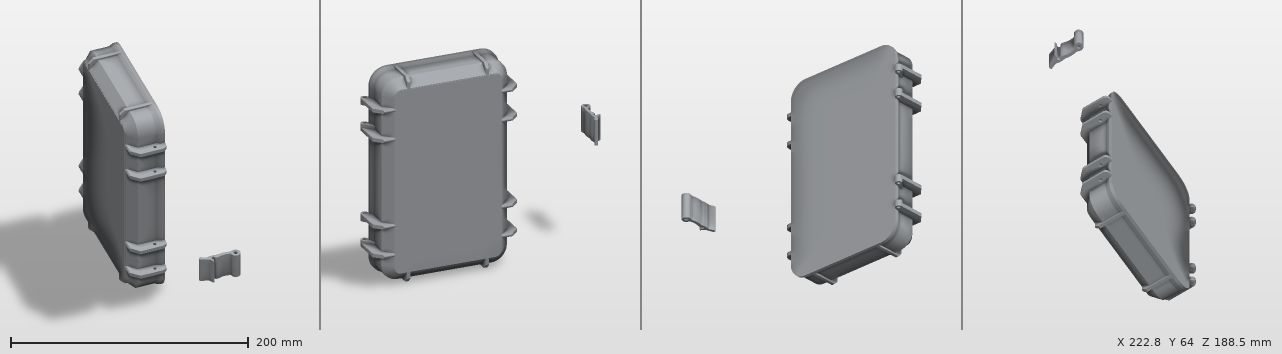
import cadquery as cq
import math

TOTAL_LENGTH = 222.8
CASE_LENGTH = 188.5
CASE_WIDTH = 118.5
CASE_DEPTH = 32.3
RIM_RADIUS = 16.3
RIM_HEIGHT = 3.0
RIM_SLOPE = 4.5
WALL_INSET = 1.8
PANEL_CHAMFER = 8.2
PANEL_STEP = 0.5
PANEL_LEDGE = 0.7

RIB_THICKNESS = 3.3
RIB_BEVEL_ACROSS = 1.3
RIB_BEVEL_DEPTH = 1.0
RIB_ROOT = 13.4
SIDE_RIB_REACH = 132.5 / 2
SIDE_RIB_HEIGHTS = (39.7, 66.4)
SIDE_RIB_CHAMFER = 7.5
END_RIB_THICKNESS = 3.1
END_RIB_OFFSET = 36.0
END_RIB_CHAMFER = 4.5

PIN_HOLE_DIAMETER = 3.0
HINGE_RADIUS = 3.3
HINGE_Y = CASE_DEPTH
LATCH_CORNER_RADIUS = 5.0
LATCH_HOLE_INSET = 4.7
LATCH_HOLE_Y = 22.3

INNER_PAD_THICKNESS = 3.3
OUTER_PAD_THICKNESS = 2.7
PAD_SLOPE_TOP_Y = 30.0
PAD_SLOPE_BOTTOM_Y = 22.0
PAD_LEDGE = 0.5

CLIP_LENGTH = 23.5
CLIP_TOP_Y = 64.0
EYE_RADIUS = 4.0
EYE_HOLE_DIAMETER = 3.3

HALF_WIDTH = CASE_WIDTH / 2
HALF_LENGTH = CASE_LENGTH / 2
HINGE_X = HINGE_RADIUS - SIDE_RIB_REACH
EYE_X = TOTAL_LENGTH - SIDE_RIB_REACH - EYE_RADIUS
EYE_Y = CLIP_TOP_Y - EYE_RADIUS


def case_section(y, inset):
    """Rounded rectangle at depth y, moved in from the rim outline by inset."""
    return (
        cq.Sketch()
        .rect(CASE_WIDTH - 2 * inset, CASE_LENGTH - 2 * inset)
        .vertices()
        .fillet(RIM_RADIUS - inset)
        .moved(cq.Location(cq.Plane.named("XZ", origin=(0, y, 0))))
    )


def case_layer(y_front, inset_front, y_back, inset_back):
    """Slice of the case between two depths, straight or sloped."""
    sections = [case_section(y_front, inset_front), case_section(y_back, inset_back)]
    return cq.Workplane("XY").placeSketch(*sections).loft(ruled=True)


def case_shell():
    """Raised panel, bevel, wall, slope and rim, stacked from front to back."""
    bevel_inset = WALL_INSET + PANEL_CHAMFER
    rim_y = CASE_DEPTH - RIM_HEIGHT
    panel_inset = bevel_inset + PANEL_LEDGE
    stations = [
        (PANEL_STEP, bevel_inset),
        (PANEL_STEP + PANEL_CHAMFER, WALL_INSET),
        (rim_y - RIM_SLOPE, WALL_INSET),
        (rim_y, 0),
        (CASE_DEPTH, 0),
    ]
    shell = case_layer(0, panel_inset, PANEL_STEP, panel_inset)
    for front, back in zip(stations, stations[1:]):
        shell = shell.union(case_layer(*front, *back))
    return shell


def latch_rib(z):
    """Rib on the +X side, with a rounded back corner."""
    root = HALF_WIDTH - RIB_ROOT
    return (
        cq.Workplane("XY", origin=(0, 0, z - RIB_THICKNESS / 2))
        .moveTo(root, 0)
        .lineTo(SIDE_RIB_REACH - SIDE_RIB_CHAMFER, 0)
        .lineTo(SIDE_RIB_REACH, SIDE_RIB_CHAMFER)
        .lineTo(SIDE_RIB_REACH, CASE_DEPTH - LATCH_CORNER_RADIUS)
        .radiusArc((SIDE_RIB_REACH - LATCH_CORNER_RADIUS, CASE_DEPTH), -LATCH_CORNER_RADIUS)
        .lineTo(root, CASE_DEPTH)
        .close()
        .extrude(RIB_THICKNESS)
        .faces("<Y").edges("|X").chamfer(RIB_BEVEL_ACROSS, RIB_BEVEL_DEPTH)
    )


def hinge_rib(z):
    """Rib on the -X side, with a round end for its pin hole."""
    root = RIB_ROOT - HALF_WIDTH
    return (
        cq.Workplane("XY", origin=(0, 0, z - RIB_THICKNESS / 2))
        .moveTo(root, 0)
        .lineTo(SIDE_RIB_CHAMFER - SIDE_RIB_REACH, 0)
        .lineTo(-SIDE_RIB_REACH, SIDE_RIB_CHAMFER)
        .lineTo(-SIDE_RIB_REACH, HINGE_Y)
        .threePointArc((HINGE_X, HINGE_Y + HINGE_RADIUS), (HINGE_X + HINGE_RADIUS, HINGE_Y))
        .lineTo(root, CASE_DEPTH)
        .close()
        .extrude(RIB_THICKNESS)
        .faces("<Y").edges("|X").chamfer(RIB_BEVEL_ACROSS, RIB_BEVEL_DEPTH)
    )


def hinge_pad(z_face, thickness):
    """Pad on a hinge rib from z_face; a negative thickness grows it downwards."""
    root = RIB_ROOT - HALF_WIDTH
    pad_edge = HINGE_X - math.sqrt(HINGE_RADIUS**2 - (HINGE_Y - PAD_SLOPE_TOP_Y) ** 2)
    return (
        cq.Workplane("XY", origin=(0, 0, z_face))
        .moveTo(root, PAD_SLOPE_BOTTOM_Y)
        .lineTo(WALL_INSET - HALF_WIDTH - PAD_LEDGE, PAD_SLOPE_BOTTOM_Y)
        .lineTo(pad_edge, PAD_SLOPE_TOP_Y)
        .threePointArc((-SIDE_RIB_REACH, HINGE_Y), (HINGE_X, HINGE_Y + HINGE_RADIUS))
        .threePointArc(
            (HINGE_X + HINGE_RADIUS * math.sqrt(0.5), HINGE_Y + HINGE_RADIUS * math.sqrt(0.5)),
            (HINGE_X + HINGE_RADIUS, HINGE_Y),
        )
        .lineTo(root, CASE_DEPTH)
        .close()
        .extrude(thickness)
    )


def end_rib(x):
    """Rib across the +Z end of the case, flush with the rim."""
    root = HALF_LENGTH - RIB_ROOT
    return (
        cq.Workplane("YZ", origin=(x - END_RIB_THICKNESS / 2, 0, 0))
        .moveTo(0, root)
        .lineTo(0, HALF_LENGTH - END_RIB_CHAMFER)
        .lineTo(END_RIB_CHAMFER, HALF_LENGTH)
        .lineTo(CASE_DEPTH, HALF_LENGTH)
        .lineTo(CASE_DEPTH, root)
        .close()
        .extrude(END_RIB_THICKNESS)
        .faces("<Y").edges("|Z").chamfer(RIB_BEVEL_ACROSS, RIB_BEVEL_DEPTH)
    )


def pin_hole(x, y):
    """Drill along Z through every rib on one side of the case."""
    return (
        cq.Workplane("XY", origin=(x, y, -HALF_LENGTH))
        .circle(PIN_HOLE_DIAMETER / 2)
        .extrude(CASE_LENGTH)
    )


def make_case():
    """Shell with its side ribs, hinge pads, end ribs and pin holes."""
    case = case_shell()
    inner_z, outer_z = SIDE_RIB_HEIGHTS
    half_rib = RIB_THICKNESS / 2
    for side in (-1, 1):
        for z in SIDE_RIB_HEIGHTS:
            case = case.union(latch_rib(side * z)).union(hinge_rib(side * z))
        case = case.union(hinge_pad(side * (inner_z + half_rib), side * INNER_PAD_THICKNESS))
        case = case.union(hinge_pad(side * (outer_z - half_rib), -side * OUTER_PAD_THICKNESS))
        rib = end_rib(side * END_RIB_OFFSET)
        case = case.union(rib).union(rib.mirror("XY"))
    case = case.cut(pin_hole(HINGE_X, HINGE_Y))
    return case.cut(pin_hole(SIDE_RIB_REACH - LATCH_HOLE_INSET, LATCH_HOLE_Y))


def clip_cylinder(radius):
    """Cylinder around the middle of the eye, as long as the clip."""
    return (
        cq.Workplane("XY", origin=(EYE_X, EYE_Y, -CLIP_LENGTH / 2))
        .circle(radius)
        .extrude(CLIP_LENGTH)
    )


def make_clip():
    """Wavy lever with an eye at one end, a hook on its inner side and a round finger tip.

    The outline is measured from the middle of the eye.
    """
    arm = (
        cq.Workplane("XY", origin=(EYE_X, EYE_Y, -CLIP_LENGTH / 2))
        .moveTo(-3.5, -1.5)
        .lineTo(-3.1, -4.2)
        .threePointArc((-3.8, -9.8), (-3.1, -15.5))
        .lineTo(-3.5, -18.3)
        .lineTo(-3.5, -21.8)
        .lineTo(-3.0, -25.2)
        .lineTo(-5.1, -30.0)
        .threePointArc((-3.5, -31.6), (-2.0, -30.0))
        .lineTo(0.2, -23.8)
        .lineTo(4.0, -21.5)
        .lineTo(4.0, -20.7)
        .lineTo(1.3, -20.7)
        .threePointArc((-1.8, -19.8), (0.2, -18.3))
        .lineTo(0.2, -15.5)
        .threePointArc((-1.0, -9.8), (-0.2, -4.2))
        .lineTo(1.8, -3.5)
        .lineTo(0, 0)
        .close()
        .extrude(CLIP_LENGTH)
    )
    return arm.union(clip_cylinder(EYE_RADIUS)).cut(clip_cylinder(EYE_HOLE_DIAMETER / 2))


case = make_case()
clip = make_clip()
result = cq.Compound.makeCompound([case.val(), clip.val()])